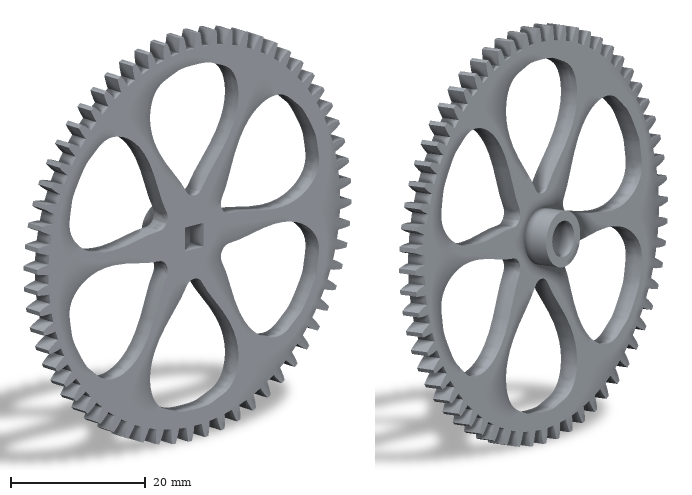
import cadquery as cq
import math

wheel_thickness = 3.0
tooth_count = 60
tip_radius = 31.5
root_radius = 29.25
tooth_pitch = 360.0 / tooth_count
first_tooth_angle = 1.5

flank_radius = 30.4
root_thickness = 1.55
flank_thickness = 1.25
tip_thickness = 0.7

hub_diameter = 8.5
hub_length = 4.0
socket_diameter = 5.5
square_side = 3.7

window_count = 6
window_inner_radius = 6.45
window_outer_radius = 26.7
window_shoulder = (1.85, 7.8)
window_flank = (6.0, 13.0)
window_widest = (8.85, 20.6)
window_corner = (6.85, 24.9)
window_crown = (4.25, 26.05)


def polar(radius, angle):
    """Point at a radius, with the angle in radians from +Z towards +Y."""
    return (radius * math.sin(angle), radius * math.cos(angle))


def make_toothed_disc():
    root_half = root_thickness / 2 / root_radius
    flank_half = flank_thickness / 2 / flank_radius
    tip_half = tip_thickness / 2 / tip_radius
    start = math.radians(first_tooth_angle)
    outline = cq.Workplane("YZ").moveTo(*polar(root_radius, start - root_half))
    for index in range(tooth_count):
        centre = math.radians(first_tooth_angle + index * tooth_pitch)
        gap_centre = centre + math.radians(tooth_pitch / 2)
        next_centre = centre + math.radians(tooth_pitch)
        outline = outline.threePointArc(
            polar(flank_radius, centre - flank_half), polar(tip_radius, centre - tip_half)
        )
        outline = outline.threePointArc(polar(tip_radius, centre), polar(tip_radius, centre + tip_half))
        outline = outline.threePointArc(
            polar(flank_radius, centre + flank_half), polar(root_radius, centre + root_half)
        )
        outline = outline.threePointArc(
            polar(root_radius, gap_centre), polar(root_radius, next_centre - root_half)
        )
    return outline.close().extrude(wheel_thickness)


def make_window():
    """Cutter for the window centred on +Z: two mirrored smooth curves that meet on the spoke line."""
    inner_end = (0, window_inner_radius)
    outer_end = (0, window_outer_radius)
    side = [inner_end, window_shoulder, window_flank, window_widest, window_corner, window_crown, outer_end]
    outline = cq.Workplane("YZ").spline(side, tangents=[(1, 0), (-1, 0)]).mirrorY()
    return outline.extrude(wheel_thickness)


def cut_windows(wheel):
    window = make_window()
    for index in range(window_count):
        angle = index * 360.0 / window_count
        wheel = wheel.cut(window.rotate((0, 0, 0), (1, 0, 0), angle))
    return wheel


def make_hub():
    """Tube standing on the -X face of the wheel."""
    return (
        cq.Workplane("YZ")
        .circle(hub_diameter / 2)
        .circle(socket_diameter / 2)
        .extrude(-hub_length)
    )


def make_square_hole():
    return cq.Workplane("YZ").rect(square_side, square_side).extrude(wheel_thickness)


wheel = cut_windows(make_toothed_disc())
result = wheel.union(make_hub()).cut(make_square_hole())